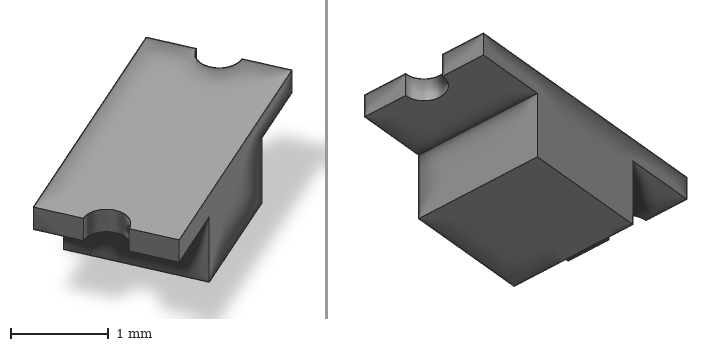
import cadquery as cq

width = 1.6
length = 3.2
height = 1.1

plate_thickness = 0.28
notch_radius = 0.25

block_length = 1.5
block_height = height - plate_thickness


def make_block():
    return cq.Workplane("XY").box(width, block_length, block_height, centered=(True, True, False))


def make_plate():
    plate = (
        cq.Workplane("XY")
        .workplane(offset=block_height)
        .box(width, length, plate_thickness, centered=(True, True, False))
    )
    notches = (
        cq.Workplane("XY")
        .workplane(offset=block_height)
        .pushPoints([(0, -length / 2), (0, length / 2)])
        .circle(notch_radius)
        .extrude(plate_thickness)
    )
    return plate.cut(notches)


result = make_plate().union(make_block())